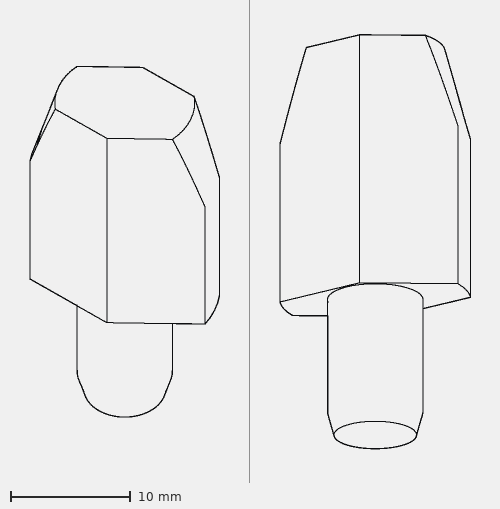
import cadquery as cq
import math

total_height = 34.0
head_height = 22.0
pin_length = total_height - head_height

head_diameter = 15.98
head_thickness = 8.85
side_flat_width = 3.6
head_taper_height = 8.0

pin_diameter = 8.0
pin_taper_height = 2.0

taper_angle = math.radians(15)


def tapered_profile(radius, straight_end, tip, tip_radius):
    """Half section of a cylinder from z = 0 that narrows to its tip."""
    return (
        cq.Workplane("XZ")
        .polyline([(0, 0), (radius, 0), (radius, straight_end), (tip_radius, tip), (0, tip)])
        .close()
    )


def tapered_cylinder(diameter, length, taper_height):
    """Upright cylinder with a conical upper end."""
    radius = diameter / 2
    tip_radius = radius - taper_height * math.tan(taper_angle)
    profile = tapered_profile(radius, length - taper_height, length, tip_radius)
    return profile.revolve(360, (0, 0, 0), (0, 1, 0))


def diamond_prism():
    """Diamond whose sides meet the head cylinder at the edges of the round strips."""
    half_thickness = head_thickness / 2
    half_flat = side_flat_width / 2
    strip_edge_x = math.sqrt((head_diameter / 2) ** 2 - half_flat**2)
    half_length = strip_edge_x * half_thickness / (half_thickness - half_flat)
    corners = [(half_length, 0), (0, half_thickness), (-half_length, 0), (0, -half_thickness)]
    return cq.Workplane("XY").polyline(corners).close().extrude(head_height)


head = tapered_cylinder(head_diameter, head_height, head_taper_height).intersect(diamond_prism())

pin = tapered_cylinder(pin_diameter, pin_length, pin_taper_height).rotate((0, 0, 0), (1, 0, 0), 180)

result = head.union(pin)